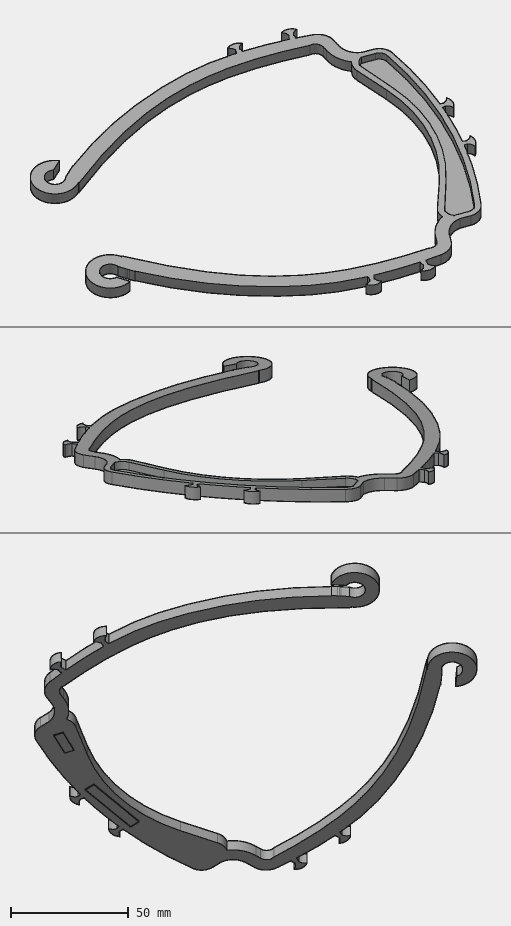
import cadquery as cq
import math

total_width = 162.08
total_length = 184.79
total_height = 6.09
label_relief = 0.5
body_height = total_height - label_relief

hook_x = -31.7
hook_radius = 10.5
hook_bore_radius = 4.5
hook_slot_offset = 4.1
hook_lip_offset = 2.3
hook_slot_direction = 135

crown_top_y = 169.4
crown_top_radius = 175.0
crown_bottom_y = 157.5
crown_bottom_radius = 73.0
crown_bottom_sweep = math.radians(24.5)
pocket_bottom_sweep = math.radians(23.5)
crown_half_length = 56.0
crown_wall = 2.8
crown_upper_corner_radius = 7.0
crown_lower_corner_radius = 7.3
crown_lower_corner_x = -49.2
pocket_floor = 2.0

shoulder_centre = (-65.2, 151.5)
shoulder_outer_radius = 9.3
shoulder_inner_radius = 15.3
shoulder_outer_end_angle = -78
shoulder_inner_start_angle = -28
shoulder_inner_end_angle = -80
shoulder_root_in_crown = (-51, 149)

arm_outer_corner = ((-68.6, 141.3), (-72.2, 138.7), (-74.0, 134.2))
arm_outer_curve = [(-75.5, 110), (-72.8, 82), (-66.4, 61.2), (-55.6, 38.5), (-42, 18), (-33.2, 7.2)]
arm_root_in_hook = (hook_x, 6)
arm_inner_curve = [(-24.4, 8), (-45.3, 35.2), (-58, 58.2), (-66.7, 86.5), (-68.9, 114), (-68.2, 131)]
arm_inner_corner = ((-67.4, 134.6), (-65.0, 135.9))

peg_stem_half_width = 1.0
peg_root_half_width = 1.4
peg_head_half_width = 3.5
peg_head_bulge = 1.3
peg_neck_position = 1.8
peg_flank_middle = (-2.3, 1.9)
peg_length = 5.7
peg_root_depth = 1.0
arm_peg_y_positions = (126.3, 101.2)
arm_peg_tilt = 5.0
crown_peg_x = 13.0

label_panels = (
    (29.5, 4.8, (-0.3, 162.8), 0),
    (11.5, 4.3, (-42.5, 153.6), 17),
)


def point_on_circle(centre, radius, angle):
    return (centre[0] + radius * math.cos(angle), centre[1] + radius * math.sin(angle))


def mirrored(point):
    return (-point[0], point[1])


def mirrored_down(point):
    return (point[0], -point[1])


def crown_outline(inset, bottom_sweep):
    """Crown outline moved inward by inset, without its rounded upper corners.

    The bottom edge is an arc reaching bottom_sweep to each side, then straight.
    """
    end_x = -(crown_half_length - inset)
    top_radius = crown_top_radius - inset
    top_centre_y = crown_top_y - crown_top_radius
    upper_corner = (end_x, top_centre_y + math.sqrt(top_radius**2 - end_x**2))

    bottom_centre = (0, crown_bottom_y - crown_bottom_radius)
    bottom_radius = crown_bottom_radius + inset
    tangent_angle = math.pi / 2 + bottom_sweep
    arc_end = point_on_circle(bottom_centre, bottom_radius, tangent_angle)

    corner_radius = crown_lower_corner_radius - inset
    corner_tangent_x = crown_lower_corner_x + corner_radius * math.sin(bottom_sweep)
    corner_tangent_y = arc_end[1] - (arc_end[0] - corner_tangent_x) * math.tan(bottom_sweep)
    corner_tangent = (corner_tangent_x, corner_tangent_y)
    corner_centre_y = corner_tangent_y + corner_radius * math.cos(bottom_sweep)
    corner_bottom = (crown_lower_corner_x, corner_centre_y - corner_radius)
    corner_run = end_x - crown_lower_corner_x
    corner_end = (end_x, corner_centre_y - math.sqrt(corner_radius**2 - corner_run**2))

    return (
        cq.Workplane("XY")
        .moveTo(*upper_corner)
        .threePointArc((0, crown_top_y - inset), mirrored(upper_corner))
        .lineTo(*mirrored(corner_end))
        .threePointArc(mirrored(corner_bottom), mirrored(corner_tangent))
        .lineTo(*mirrored(arc_end))
        .threePointArc((0, crown_bottom_y + inset), arc_end)
        .lineTo(*corner_tangent)
        .threePointArc(corner_bottom, corner_end)
        .close()
    )


def crown_prism(inset, bottom_sweep, height):
    """Extruded crown outline with its two upper corners rounded."""
    prism = crown_outline(inset, bottom_sweep).extrude(height)
    radius = crown_upper_corner_radius - inset
    for side in ("<X", ">X"):
        prism = prism.faces(side).edges("|Z").edges(">Y").fillet(radius)
    return prism


def shoulder_arc(radius, start_angle, end_angle):
    """Start, middle and end of an arc about the shoulder centre (angles in degrees)."""
    angles = (start_angle, (start_angle + end_angle) / 2, end_angle)
    return [point_on_circle(shoulder_centre, radius, math.radians(angle)) for angle in angles]


def left_arm():
    """Left shoulder and arm down to the hook."""
    outer_start, outer_middle, outer_end = shoulder_arc(shoulder_outer_radius, 0, shoulder_outer_end_angle)
    inner_start, inner_middle, inner_end = shoulder_arc(
        shoulder_inner_radius, shoulder_inner_start_angle, shoulder_inner_end_angle
    )
    return (
        cq.Workplane("XY")
        .moveTo(*outer_start)
        .threePointArc(outer_middle, outer_end)
        .lineTo(*arm_outer_corner[0])
        .threePointArc(*arm_outer_corner[1:])
        .spline(arm_outer_curve, includeCurrent=True)
        .lineTo(*arm_root_in_hook)
        .lineTo(*arm_inner_curve[0])
        .spline(arm_inner_curve[1:], includeCurrent=True)
        .threePointArc(*arm_inner_corner)
        .lineTo(*inner_end)
        .threePointArc(inner_middle, inner_start)
        .lineTo(*shoulder_root_in_crown)
        .close()
        .extrude(body_height)
    )


def left_hook():
    """Ring opened by a slot at 45 degrees towards the upper left."""
    ring = (
        cq.Workplane("XY")
        .center(hook_x, 0)
        .circle(hook_radius)
        .circle(hook_bore_radius)
        .extrude(body_height)
    )
    slot_length = 2 * hook_radius
    slot = (
        cq.Workplane("XY")
        .center(hook_x, 0)
        .transformed(rotate=(0, 0, hook_slot_direction))
        .moveTo(0, -hook_slot_offset)
        .lineTo(slot_length, -hook_slot_offset)
        .lineTo(slot_length, hook_lip_offset)
        .lineTo(0, hook_lip_offset)
        .close()
        .extrude(body_height)
    )
    return ring.cut(slot)


def peg(tip, direction):
    """Mushroom peg with its tip at the given point, pointing along direction (degrees)."""
    corner = (-peg_head_bulge, peg_head_half_width)
    root = (-peg_length, peg_root_half_width)
    root_end = (-peg_length - peg_root_depth, peg_root_half_width)
    neck = (-peg_length + peg_neck_position, peg_stem_half_width)
    return (
        cq.Workplane("XY")
        .moveTo(*mirrored_down(root_end))
        .lineTo(*mirrored_down(root))
        .lineTo(*mirrored_down(neck))
        .threePointArc(mirrored_down(peg_flank_middle), mirrored_down(corner))
        .threePointArc((0, 0), corner)
        .threePointArc(peg_flank_middle, neck)
        .lineTo(*root)
        .lineTo(*root_end)
        .close()
        .extrude(body_height)
        .rotate((0, 0, 0), (0, 0, 1), direction)
        .translate((tip[0], tip[1], 0))
    )


def tilted_tip_inset(tilt):
    """How far the rounded head of a peg reaches past its tip when the peg is tilted."""
    cap_radius = (peg_head_half_width**2 + peg_head_bulge**2) / (2 * peg_head_bulge)
    return cap_radius * (1 - math.cos(math.radians(tilt)))


def left_pegs():
    """Two pegs on the left arm and one on the left of the crown, square to the curved edges."""
    arm_tip_x = -total_width / 2 + tilted_tip_inset(arm_peg_tilt)
    upper_y, lower_y = arm_peg_y_positions
    crown_tilt = math.degrees(math.asin(crown_peg_x / crown_top_radius))
    crown_tip_y = total_length - hook_radius - tilted_tip_inset(crown_tilt)
    return (
        peg((arm_tip_x, upper_y), 180 - arm_peg_tilt)
        .union(peg((arm_tip_x, lower_y), 180 + arm_peg_tilt))
        .union(peg((-crown_peg_x, crown_tip_y), 90 + crown_tilt))
    )


def label_panel(width, depth, centre, turn):
    """Low raised rectangle under the crown, turned by the given degrees."""
    return (
        cq.Workplane("XY")
        .box(width, depth, label_relief, centered=(True, True, False))
        .rotate((0, 0, 0), (0, 0, 1), turn)
        .translate((centre[0], centre[1], -label_relief))
    )


left_half = left_arm().union(left_hook()).union(left_pegs())
crown = crown_prism(0, crown_bottom_sweep, body_height)
pocket_depth = body_height - pocket_floor
pocket = crown_prism(crown_wall, pocket_bottom_sweep, pocket_depth).translate((0, 0, pocket_floor))

result = crown.union(left_half).union(left_half.mirror("YZ")).cut(pocket)
for panel in label_panels:
    result = result.union(label_panel(*panel))